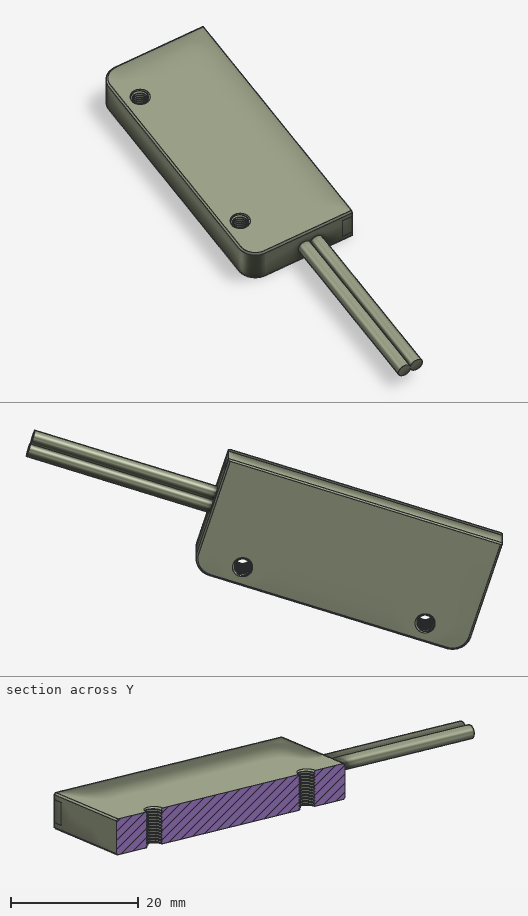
import cadquery as cq
import math

HOUSING_LENGTH = 45.0
HOUSING_WIDTH = 19.0
HOUSING_HEIGHT = 6.0
CORNER_RADIUS = 3.0
EDGE_CHAMFER = 0.3

THREAD_MINOR_DIAMETER = 2.5
THREAD_MAJOR_DIAMETER = 3.0
THREAD_TURNS = 12
COUNTERSINK_DIAMETER = 3.15
THREAD_OVERLAP = 0.04
HOLE_SPACING = 30.0
HOLE_EDGE_OFFSET = 3.0

STRIP_HEIGHT = 3.75
STRIP_DEPTH = 1.8

CABLE_LENGTH = 30.0
CORE_DIAMETER = 2.25
CORE_SPACING = 2.2
CABLE_EDGE_OFFSET = 7.7


def make_strip():
    """Flat strip that runs the full length of the housing."""
    return cq.Workplane().box(
        HOUSING_LENGTH, STRIP_DEPTH, STRIP_HEIGHT, centered=(False, False, True)
    ).translate((0, HOUSING_WIDTH - STRIP_DEPTH, 0))


def make_block():
    """Chamfered block with two rounded corners and a square +Y side."""
    block = cq.Workplane().box(
        HOUSING_LENGTH, HOUSING_WIDTH, HOUSING_HEIGHT, centered=(False, False, True)
    )
    block = block.edges("|Z and <Y").fillet(CORNER_RADIUS)
    return block.edges("(not |Z) and (not >Y)").chamfer(EDGE_CHAMFER)


def make_bore_cutter():
    """Straight bore that flares at 45 degrees to the top and bottom faces."""
    radius = THREAD_MINOR_DIAMETER / 2
    rim_radius = COUNTERSINK_DIAMETER / 2
    top = HOUSING_HEIGHT / 2
    flare_start = top - (rim_radius - radius)
    outline = [
        (0, -top),
        (rim_radius, -top),
        (radius, -flare_start),
        (radius, flare_start),
        (rim_radius, top),
        (0, top),
    ]
    return cq.Workplane("XZ").polyline(outline).close().revolve(360, (0, 0), (0, 1))


def make_thread_cutter():
    """Helical groove with 60-degree flanks and a narrow flat root."""
    pitch = HOUSING_HEIGHT / THREAD_TURNS
    root_radius = THREAD_MAJOR_DIAMETER / 2
    inner_radius = THREAD_MINOR_DIAMETER / 2 - THREAD_OVERLAP
    root_half_width = pitch / 16
    flank_rise = (root_radius - inner_radius) * math.tan(math.radians(30))
    mouth_half_width = root_half_width + flank_rise
    helix = cq.Wire.makeHelix(pitch, HOUSING_HEIGHT, THREAD_MINOR_DIAMETER / 2)
    groove = (
        cq.Workplane("XZ")
        .polyline([
            (inner_radius, -mouth_half_width),
            (root_radius, -root_half_width),
            (root_radius, root_half_width),
            (inner_radius, mouth_half_width),
        ])
        .close()
        .sweep(cq.Workplane(obj=helix), isFrenet=True)
    )
    return groove.translate((0, 0, -HOUSING_HEIGHT / 2))


def make_hole_cutters():
    """The cutters for both holes: a bore and a thread groove at each place."""
    middle = HOUSING_LENGTH / 2
    cutters = [make_bore_cutter(), make_thread_cutter()]
    return [
        cutter.translate((middle + side * HOLE_SPACING / 2, HOLE_EDGE_OFFSET, 0))
        for side in (-1, 1)
        for cutter in cutters
    ]


def make_cable():
    """Figure-eight profile, extruded along X; each core splits at its crest."""
    radius = CORE_DIAMETER / 2
    core_y = CORE_SPACING / 2
    waist_z = math.sqrt(radius**2 - core_y**2)
    crest_to_waist = math.acos(waist_z / radius) / 2
    inner_y = core_y - radius * math.sin(crest_to_waist)
    inner_z = radius * math.cos(crest_to_waist)
    profile = (
        cq.Workplane("YZ", origin=(HOUSING_LENGTH, HOUSING_WIDTH - CABLE_EDGE_OFFSET, 0))
        .moveTo(0, waist_z)
        .threePointArc((inner_y, inner_z), (core_y, radius))
        .threePointArc((core_y + radius, 0), (core_y, -radius))
        .threePointArc((inner_y, -inner_z), (0, -waist_z))
        .threePointArc((-inner_y, -inner_z), (-core_y, -radius))
        .threePointArc((-core_y - radius, 0), (-core_y, radius))
        .threePointArc((-inner_y, inner_z), (0, waist_z))
        .close()
    )
    return profile.extrude(CABLE_LENGTH, clean=False)


def make_housing(strip):
    """Block with its holes, its strip groove and the cable stub."""
    housing = make_block().cut(strip)
    for cutter in make_hole_cutters():
        housing = housing.cut(cutter)
    return housing.union(make_cable(), clean=False)


strip = make_strip()
housing = make_housing(strip)

result = cq.Compound.makeCompound([housing.val(), strip.val()])